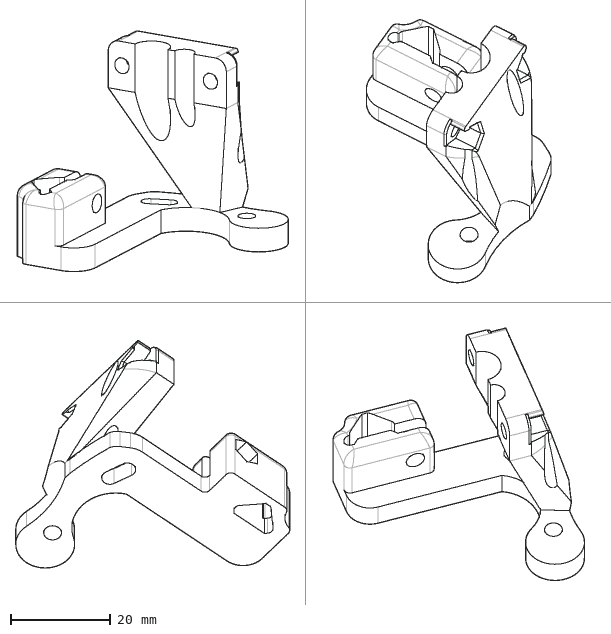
import cadquery as cq
import math

PLATE_T = 5.0
ARM_LEFT, ARM_RIGHT = 7.65, 17.85
ARM_CORNER_R = 5.0
MOTOR_X, MOTOR_Y = 25.8, 27.55
LOBE_X, LOBE_Y, LOBE_R = 38.0, 35.75, 5.95
MOTOR_R = math.hypot(LOBE_X - MOTOR_X, LOBE_Y - MOTOR_Y) - LOBE_R
WAIST_X, WAIST_R = 32.5, 22.7
PLATE_BACK = 43.4
PEAK_LEFT, PEAK_RIGHT = 21.1, 22.67
ARM_TOP_Y = 35.6
SHOULDER_ANGLE = 31
SHOULDER_FLAT = 2.15
SHOULDER_END = (10.95, 41.4)
BACK_MID = (15.8, 42.58)

PIVOT_X, SLOT_X, SCREW_Y = 34.8, 16.8, 36.5
PIVOT_D, SLOT_BORE_D, SLOT_WIDTH = 3.55, 3.3, 3.3
SLOT_TRAVEL, SLOT_ANGLE = 4.1, 20

TOP_Z = 40.65
HEAD_Z = 30.4
HEAD_LEFT, HEAD_RIGHT = 8.1, 35.55
HEAD_FRONT, EAR_BACK = 27.0, 31.6
HEAD_MID = (HEAD_LEFT + HEAD_RIGHT) / 2
HEAD_CORNER_R = 2.5
LEG_OUTER_R = 16.6
LEG_BACK = 43.7
LEG_ANGLES = (68.8, 112.4)
SLOPE_TOP_Y = 34.7

GROOVES = ((18.2, 3.82), (25.8, 2.2))

LEFT_INSET, RIGHT_INSET = 3.2, 3.7
EAR_HOLE_Z, EAR_HOLE_D = 35.55, 3.3
NUT_R = 3.15
HEX_TILT = 30
LIP = 0.53
BEVEL_DEPTH = 0.18
ROOF_INSET = 1.8

CLAMP_X, CLAMP_Y, CLAMP_Z = 12.6, 19.05, 15.2
CLAMP_TOP_R = 2.5
CLAMP_EDGE_R = CLAMP_TOP_R / 2
CORNER_RELIEF_X, CORNER_RELIEF_R = -0.3, 3.82
SLIT_LEFT, SLIT_WIDTH = 6.35, 2.5
SLIT_RIGHT = SLIT_LEFT + SLIT_WIDTH
SLIT_FRONT = 1.3
TONGUE_LENGTH = 9.25
BORE_MID_Y, BORE_LEFT, BORE_RIGHT = 7.65, 1.7, 7.7
BORE_HALF_FLAT = 0.6
BORE_APEX_R = SLIT_WIDTH / 2
CLAMP_SCREW_Y, CLAMP_SCREW_Z, CLAMP_SCREW_D = 14.7, 10.1, 3.82
CLAMP_NUT_R, CLAMP_NUT_DEPTH = 3.3, 4.0


def polar(x, y, radius, degrees):
    a = math.radians(degrees)
    return (x + radius * math.cos(a), y + radius * math.sin(a))


def waist_point(x):
    return (x, WAIST_Y - math.sqrt(WAIST_R ** 2 - (x - WAIST_X) ** 2))


def towards(center, target, distance):
    dx, dy = target[0] - center[0], target[1] - center[1]
    length = math.hypot(dx, dy)
    return (center[0] + dx * distance / length, center[1] + dy * distance / length)


WAIST_Y = LOBE_Y + math.sqrt((WAIST_R + LOBE_R) ** 2 - (LOBE_X - WAIST_X) ** 2)
LOBE = (LOBE_X, LOBE_Y)
LOBE_START = towards(LOBE, (WAIST_X, WAIST_Y), LOBE_R)


def back_edge(sketch):
    """Left side, shoulder and back edge of the plate, from the arm to the rounded end."""
    lean = math.radians(SHOULDER_ANGLE)
    flat_start = (
        ARM_LEFT + ARM_CORNER_R * (1 - math.cos(lean)),
        ARM_TOP_Y + ARM_CORNER_R * math.sin(lean),
    )
    flat_end = (
        flat_start[0] + SHOULDER_FLAT * math.sin(lean),
        flat_start[1] + SHOULDER_FLAT * math.cos(lean),
    )
    return (
        sketch.lineTo(ARM_LEFT, ARM_TOP_Y)
        .tangentArcPoint(flat_start, relative=False)
        .lineTo(*flat_end)
        .tangentArcPoint(SHOULDER_END, relative=False)
        .threePointArc(BACK_MID, (PEAK_LEFT, PLATE_BACK))
        .lineTo(PEAK_RIGHT, PLATE_BACK)
        .threePointArc(waist_point((PEAK_RIGHT + LOBE_START[0]) / 2), LOBE_START)
    )


def base_plate():
    """Arm, cove around the motor and rounded end, as one flat plate."""
    cove_y = MOTOR_Y + math.sqrt(MOTOR_R ** 2 - (MOTOR_X - ARM_RIGHT) ** 2)
    lobe_end = towards(LOBE, (MOTOR_X, MOTOR_Y), LOBE_R)
    bend = ARM_CORNER_R * math.sqrt(0.5)
    sketch = cq.Workplane().moveTo(ARM_LEFT, 0)
    sketch = (
        back_edge(sketch)
        .threePointArc((LOBE_X + LOBE_R, LOBE_Y), lobe_end)
        .threePointArc((MOTOR_X, MOTOR_Y + MOTOR_R), (ARM_RIGHT, cove_y))
        .lineTo(ARM_RIGHT, ARM_CORNER_R)
        .threePointArc(
            (ARM_RIGHT - ARM_CORNER_R + bend, ARM_CORNER_R - bend), (ARM_RIGHT - ARM_CORNER_R, 0)
        )
        .close()
    )
    return sketch.extrude(PLATE_T)


def arm_web():
    """Small round in the corner between the arm and the back of the clamp block."""
    r = CLAMP_EDGE_R
    return (
        cq.Workplane()
        .rect(r, r, centered=False)
        .extrude(PLATE_T)
        .cut(cq.Workplane().center(0, r).circle(r).extrude(PLATE_T))
        .translate((ARM_LEFT - r, CLAMP_Y, 0))
    )


def slope_y(z):
    """Where the sloping rear face lies at height z."""
    return PLATE_BACK + (SLOPE_TOP_Y - PLATE_BACK) * (z - PLATE_T) / (TOP_Z - PLATE_T)


def head_profile(sketch):
    back_r = math.hypot(HEAD_MID - HEAD_LEFT, EAR_BACK - HEAD_FRONT)
    return (
        sketch.moveTo(HEAD_RIGHT, HEAD_FRONT)
        .lineTo(HEAD_RIGHT, EAR_BACK)
        .threePointArc((HEAD_MID, HEAD_FRONT + back_r), (HEAD_LEFT, EAR_BACK))
        .lineTo(HEAD_LEFT, HEAD_FRONT)
        .close()
    )


def leg_and_head():
    """Leg rising from the edge of the cove to the head, trimmed by the rear slope."""
    right, left = LEG_ANGLES
    foot = (
        cq.Workplane(origin=(0, 0, PLATE_T))
        .moveTo(*polar(MOTOR_X, MOTOR_Y, MOTOR_R, right))
        .lineTo(*polar(MOTOR_X, MOTOR_Y, LEG_OUTER_R, right))
        .threePointArc((MOTOR_X, LEG_BACK), polar(MOTOR_X, MOTOR_Y, LEG_OUTER_R, left))
        .lineTo(*polar(MOTOR_X, MOTOR_Y, MOTOR_R, left))
        .threePointArc((MOTOR_X, MOTOR_Y + MOTOR_R), polar(MOTOR_X, MOTOR_Y, MOTOR_R, right))
        .close()
    )
    leg = head_profile(foot.workplane(offset=HEAD_Z - PLATE_T)).loft(ruled=True)
    head = head_profile(cq.Workplane(origin=(0, 0, HEAD_Z))).extrude(TOP_Z - HEAD_Z)
    corners = (
        cq.Workplane()
        .box(HEAD_RIGHT - HEAD_LEFT, PLATE_BACK, TOP_Z, centered=False)
        .edges("|Y and >Z")
        .fillet(HEAD_CORNER_R)
        .translate((HEAD_LEFT, HEAD_FRONT, 0))
    )
    in_front_of_slope = (
        cq.Workplane("YZ")
        .polyline([(0, PLATE_T), (slope_y(PLATE_T), PLATE_T), (slope_y(TOP_Z), TOP_Z), (0, TOP_Z)])
        .close()
        .extrude(LOBE_X + LOBE_R)
    )
    within_plate = (
        back_edge(cq.Workplane().moveTo(ARM_LEFT, 0)).lineTo(LOBE_START[0], 0).close().extrude(TOP_Z)
    )
    return leg.union(head.intersect(corners)).intersect(in_front_of_slope).intersect(within_plate)


def grooves():
    """Round upright channels centered on the front face of the head."""
    cutters = cq.Workplane(origin=(0, HEAD_FRONT, PLATE_T))
    for x, radius in GROOVES:
        cutters = cutters.moveTo(x, 0).circle(radius)
    return cutters.extrude(TOP_Z - PLATE_T)


def hexagon(radius):
    """Corners of a hexagon standing on a point, as (sideways, up) offsets."""
    return [polar(0, 0, radius, HEX_TILT + 60 * i) for i in range(6)]


def nut_pocket(inset):
    """Hexagonal pocket behind a left-hand screw, open to the side below a sloping roof."""
    x, z = HEAD_LEFT + inset, EAR_HOLE_Z
    tilt = math.radians(HEX_TILT)
    flat = NUT_R * math.cos(tilt)
    roof_x = HEAD_LEFT + ROOF_INSET
    roof_z = z + NUT_R / 2 + (x + flat - roof_x) * math.tan(tilt)
    floor_z = z - NUT_R + inset * math.tan(tilt)
    curl = LIP * (1 - math.sqrt(0.5))
    pocket = (
        cq.Workplane("XZ", origin=(0, EAR_BACK, 0))
        .moveTo(x, z - NUT_R)
        .lineTo(x + flat, z - NUT_R / 2)
        .lineTo(x + flat, z + NUT_R / 2)
        .lineTo(roof_x, roof_z)
        .lineTo(roof_x, TOP_Z - LIP)
        .threePointArc((roof_x + curl, TOP_Z - curl), (roof_x + LIP, TOP_Z))
        .lineTo(HEAD_LEFT, TOP_Z)
        .lineTo(HEAD_LEFT, floor_z)
        .close()
        .extrude(EAR_BACK - PLATE_BACK)
    )

    def ring(radius, depth):
        points = [(x + dx, slope_y(z + dz) - depth, z + dz) for dx, dz in hexagon(radius)]
        return cq.Wire.makePolygon([cq.Vector(*p) for p in points], close=True)

    bevel = cq.Solid.makeLoft([ring(NUT_R, LIP), ring(NUT_R + LIP, 0)], True)
    return pocket.union(cq.Workplane(bevel))


def ear_bevel():
    """Shallow bevel around the rear rim of the left ear, from the pocket floor upward."""
    width = HEAD_RIGHT - HEAD_LEFT
    outer = cq.Sketch().rect(width, 2 * TOP_Z).vertices().fillet(HEAD_CORNER_R)
    rim = cq.Workplane("XZ", origin=(HEAD_MID, EAR_BACK - LIP, 0)).placeSketch(outer)
    taper = math.degrees(math.atan(BEVEL_DEPTH / LIP))
    band = rim.extrude(-LIP).cut(rim.extrude(-LIP, taper=taper))
    ear = (
        cq.Workplane(origin=(HEAD_LEFT, HEAD_FRONT, EAR_HOLE_Z - NUT_R / 2))
        .box(ROOF_INSET + LIP, PLATE_BACK - HEAD_FRONT, TOP_Z, centered=False)
    )
    return band.intersect(ear)


def ear_screws():
    """Screw holes with their nut pockets; the right side is mirrored from a left-hand one."""
    sides = []
    for inset in (LEFT_INSET, RIGHT_INSET):
        hole = (
            cq.Workplane("XZ")
            .center(HEAD_LEFT + inset, EAR_HOLE_Z)
            .circle(EAR_HOLE_D / 2)
            .extrude(-PLATE_BACK)
        )
        sides.append(hole.union(nut_pocket(inset)).union(ear_bevel()))
    left, right = sides
    return left.union(right.mirror("YZ", (HEAD_MID, 0, 0)))


def plate_screws():
    """Round pivot hole, and the adjusting slot with its bore up through the leg."""
    pivot = cq.Workplane().center(PIVOT_X, SCREW_Y).circle(PIVOT_D / 2).extrude(TOP_Z)
    bore = cq.Workplane().center(SLOT_X, SCREW_Y).circle(SLOT_BORE_D / 2).extrude(TOP_Z)
    slot = (
        cq.Workplane()
        .center(-SLOT_TRAVEL / 2, 0)
        .slot2D(SLOT_TRAVEL + SLOT_WIDTH, SLOT_WIDTH)
        .extrude(PLATE_T)
        .rotate((0, 0, 0), (0, 0, 1), SLOT_ANGLE)
        .translate((SLOT_X, SCREW_Y, 0))
    )
    return pivot.union(bore).union(slot)


def clamp_block():
    """Block with a hollowed corner and rounded edges."""
    return (
        cq.Workplane()
        .rect(CLAMP_X, CLAMP_Y, centered=False)
        .extrude(CLAMP_Z)
        .cut(cq.Workplane().center(CORNER_RELIEF_X, 0).circle(CORNER_RELIEF_R).extrude(CLAMP_Z))
        .edges("|Z")
        .fillet(CLAMP_EDGE_R)
        .faces(">Z")
        .edges()
        .fillet(CLAMP_TOP_R)
    )


def clamp_bore():
    """Pointed bore through the block, with rounded upper and lower points."""
    apex = BORE_HALF_FLAT + SLIT_LEFT - BORE_LEFT
    shoulder = apex - (BORE_RIGHT - SLIT_LEFT)
    outline = [
        (BORE_LEFT, BORE_HALF_FLAT),
        (SLIT_LEFT, apex),
        (BORE_RIGHT, shoulder),
        (BORE_RIGHT, -shoulder),
        (SLIT_LEFT, -apex),
        (BORE_LEFT, -BORE_HALF_FLAT),
    ]
    bore = cq.Workplane(origin=(0, BORE_MID_Y, 0)).polyline(outline).close().extrude(CLAMP_Z)
    return bore.edges("|Z and (>Y or <Y)").fillet(BORE_APEX_R)


def clamp_slit():
    """Slit above the plate that lets the block close, less the tongue beside the bore."""
    r = SLIT_WIDTH / 2
    mid = SLIT_LEFT + r
    slit = (
        cq.Workplane(origin=(0, 0, PLATE_T))
        .moveTo(SLIT_LEFT, CLAMP_Y)
        .lineTo(SLIT_LEFT, SLIT_FRONT + r)
        .threePointArc((mid, SLIT_FRONT), (SLIT_RIGHT, SLIT_FRONT + r))
        .lineTo(SLIT_RIGHT, CLAMP_Y)
        .close()
        .extrude(CLAMP_Z - PLATE_T)
    )
    tip = SLIT_RIGHT - BORE_RIGHT
    half = TONGUE_LENGTH / 2
    outline = [
        (SLIT_RIGHT, half),
        (BORE_RIGHT, half - tip),
        (BORE_RIGHT, tip - half),
        (SLIT_RIGHT, -half),
    ]
    tongue = (
        cq.Workplane(origin=(0, BORE_MID_Y, PLATE_T))
        .polyline(outline)
        .close()
        .extrude(CLAMP_Z - PLATE_T)
    )
    return slit.cut(tongue)


def clamp_screw():
    """Cross hole through the clamp with a hexagonal nut recess on the left."""
    side = cq.Workplane("YZ", origin=(0, CLAMP_SCREW_Y, CLAMP_SCREW_Z))
    hole = side.circle(CLAMP_SCREW_D / 2).extrude(CLAMP_X)
    return hole.union(side.polyline(hexagon(CLAMP_NUT_R)).close().extrude(CLAMP_NUT_DEPTH))


support = leg_and_head().cut(grooves()).cut(ear_screws())
result = (
    base_plate()
    .union(arm_web())
    .union(support)
    .cut(plate_screws())
    .union(clamp_block())
    .cut(clamp_bore())
    .cut(clamp_slit())
    .cut(clamp_screw())
)